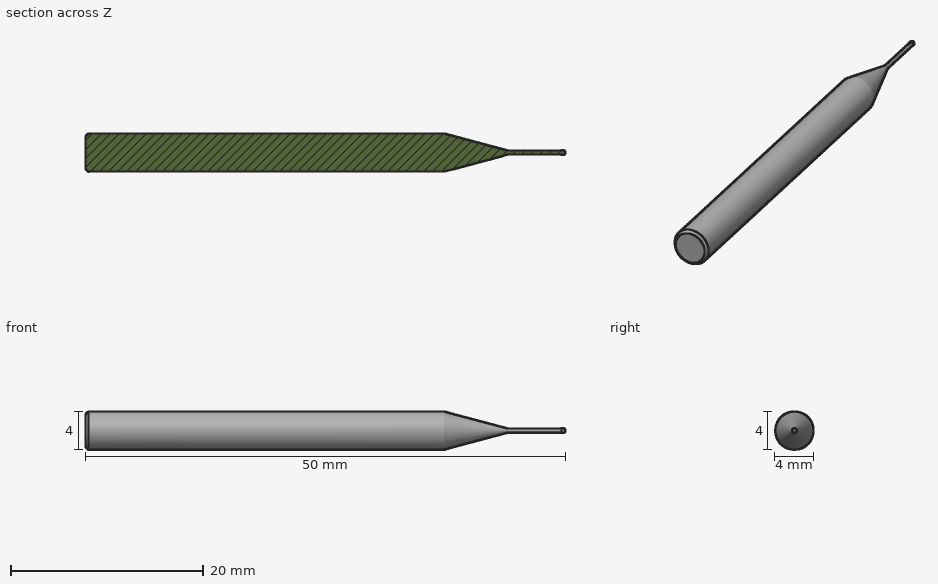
import cadquery as cq
import math

overall_length = 50.0
shank_radius = 4.0 / 2
shank_chamfer = 0.3
neck_radius = 0.45 / 2
ball_radius = 0.5 / 2
head_length = 0.4
neck_length = 5.6
taper_half_angle = 15.0

ball_start = overall_length - ball_radius
head_start = overall_length - head_length
neck_start = head_start - neck_length
taper_length = (shank_radius - neck_radius) / math.tan(math.radians(taper_half_angle))
taper_start = neck_start - taper_length

ball_offset = ball_radius * math.sqrt(0.5)

profile = (
    cq.Workplane("XY")
    .moveTo(0, 0)
    .lineTo(0, shank_radius - shank_chamfer)
    .lineTo(shank_chamfer, shank_radius)
    .lineTo(taper_start, shank_radius)
    .lineTo(neck_start, neck_radius)
    .lineTo(head_start, neck_radius)
    .lineTo(head_start, ball_radius)
    .lineTo(ball_start, ball_radius)
    .threePointArc((ball_start + ball_offset, ball_offset), (overall_length, 0))
    .close()
)

result = profile.revolve(360, (0, 0, 0), (1, 0, 0))